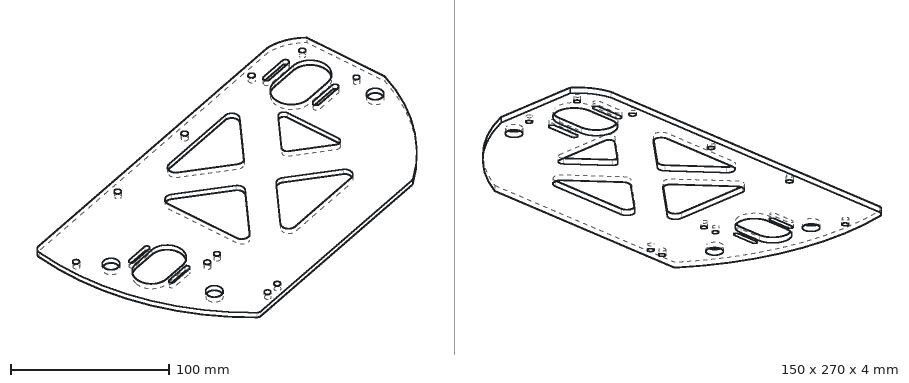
import cadquery as cq
import math

WIDTH = 150.0
LENGTH = 270.0
THICKNESS = 4.0
RIGHT = WIDTH / 2
LEFT = -RIGHT
TOP = LENGTH / 2
BOTTOM = -TOP

TOP_EDGE_START_X = -61.3
TOP_EDGE_END_X = 0.5
LEFT_EDGE_TOP_Y = 112.3
RIGHT_EDGE_TOP_Y = 66.0
UPPER_LEFT_RADIUS = 36.5
UPPER_RIGHT_RADIUS = 140.4
LOWER_RADIUS = 186.2
LOWER_ARC_X = -40.5
LOWER_LEFT_FILLET = 4.9
LOWER_RIGHT_FILLET = 3.2

SCREW_DIAMETER = 4.5
PIN_DIAMETER = 4.3
LARGE_DIAMETER = 11.0
SIDE_HOLE_X = -67.0
SIDE_HOLE_Y = 14.5
SIDE_HOLE_PITCH = 70.2
SIDE_HOLES = [(SIDE_HOLE_X, SIDE_HOLE_Y + i * SIDE_HOLE_PITCH) for i in (-1, 0, 1)]
PIN_HOLES = [(-56.0, 123.3), (-13.0, 123.3), (-47.0, -125.5)]
PIN_HOLES += [(x, y) for x in (19.5, 67.2) for y in (-65.5, -75.8)]
LARGE_HOLES = [(6.2, 117.7), (40.0, -95.5), (-28.0, -114.0)]

CROSS_X = -7.0
CROSS_Y = 14.5
CROSS_SLOPE = 1.15
SIDE_TIP_OFFSET = 12.5
SIDE_BASE_OFFSET = 50.0
UPPER_TIP_OFFSET = 23.0
UPPER_BASE_OFFSET = 55.0
LOWER_TIP_OFFSET = 16.2
LOWER_BASE_OFFSET = 60.5
WINDOW_RADIUS = 5.0
UPPER_WINDOW_RADIUS = 3.5


def lower_arc_y(x):
    """Height of the lower arc at the given x."""
    center_y = BOTTOM + LOWER_RADIUS
    return center_y - math.sqrt(LOWER_RADIUS**2 - (x - LOWER_ARC_X) ** 2)


def make_plate():
    plate = (
        cq.Workplane("XY")
        .moveTo(LEFT, LEFT_EDGE_TOP_Y)
        .radiusArc((TOP_EDGE_START_X, TOP), UPPER_LEFT_RADIUS)
        .lineTo(TOP_EDGE_END_X, TOP)
        .radiusArc((RIGHT, RIGHT_EDGE_TOP_Y), UPPER_RIGHT_RADIUS)
        .lineTo(RIGHT, lower_arc_y(RIGHT))
        .threePointArc((LOWER_ARC_X, BOTTOM), (LEFT, lower_arc_y(LEFT)))
        .close()
        .extrude(THICKNESS)
    )
    plate = plate.edges("|Z and <X").edges("<Y").fillet(LOWER_LEFT_FILLET)
    return plate.edges("|Z and >X").edges("<Y").fillet(LOWER_RIGHT_FILLET)


def round_cutters(points, diameter):
    return cq.Workplane("XY").pushPoints(points).circle(diameter / 2).extrude(THICKNESS)


def slot_cutters(points, length, width):
    """Round-ended slots running along Y."""
    return cq.Workplane("XY").pushPoints(points).slot2D(length, width, 90).extrude(THICKNESS)


def cut_slot_group(plate, center, opening, side_slot, side_offset):
    """Cut a wide slot with a narrow one on either side; sizes are (length, width)."""
    x, y = center
    side_points = [(x - side_offset, y), (x + side_offset, y)]
    plate = plate.cut(slot_cutters([center], *opening))
    return plate.cut(slot_cutters(side_points, *side_slot))


def window_cutter(corners, radius):
    window = cq.Workplane("XY", origin=(CROSS_X, CROSS_Y, 0)).polyline(corners).close()
    return window.extrude(THICKNESS).edges("|Z").fillet(radius)


def side_window(side):
    """Window left (-1) or right (+1) of the cross."""
    half_base = (SIDE_BASE_OFFSET - SIDE_TIP_OFFSET) * CROSS_SLOPE
    base_x = side * SIDE_BASE_OFFSET
    corners = [(side * SIDE_TIP_OFFSET, 0), (base_x, half_base), (base_x, -half_base)]
    return window_cutter(corners, WINDOW_RADIUS)


def end_window(side, tip_offset, base_offset, radius):
    """Window above (+1) or below (-1) the cross."""
    half_base = (base_offset - tip_offset) / CROSS_SLOPE
    base_y = side * base_offset
    corners = [(0, side * tip_offset), (half_base, base_y), (-half_base, base_y)]
    return window_cutter(corners, radius)


result = make_plate()
result = result.cut(round_cutters(SIDE_HOLES, SCREW_DIAMETER))
result = result.cut(round_cutters(PIN_HOLES, PIN_DIAMETER))
result = result.cut(round_cutters(LARGE_HOLES, LARGE_DIAMETER))

result = cut_slot_group(
    result, center=(-38.0, 98.2), opening=(46.7, 27.0), side_slot=(24.3, 4.5), side_offset=19.7
)
result = cut_slot_group(
    result, center=(-3.5, -95.8), opening=(40.8, 24.3), side_slot=(19.7, 3.5), side_offset=16.0
)

result = result.cut(side_window(-1)).cut(side_window(1))
result = result.cut(end_window(1, UPPER_TIP_OFFSET, UPPER_BASE_OFFSET, UPPER_WINDOW_RADIUS))
result = result.cut(end_window(-1, LOWER_TIP_OFFSET, LOWER_BASE_OFFSET, WINDOW_RADIUS))